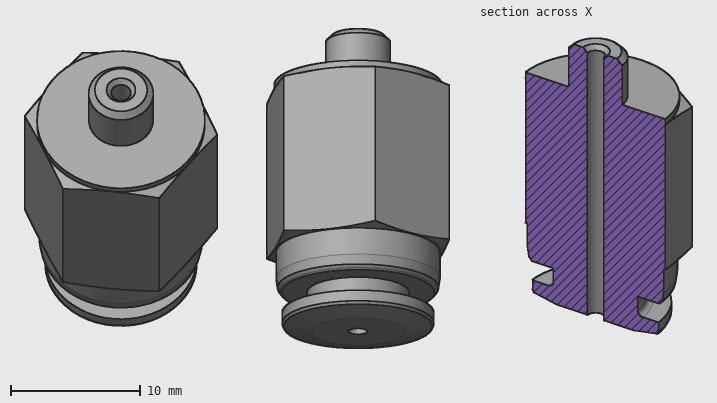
import cadquery as cq
import math

total_height = 23.9
flange_rim_bottom = 0.4
flange_rim_edge = 0.65
flange_top = 1.5
collar_bottom = 3.15
collar_lip_top = 3.3
collar_taper_bottom = 3.51
collar_taper_top = 4.3
hex_bottom = 6.4
hex_top = 19.43
washer_top = 19.93

flange_face_diameter = 7.17
flange_diameter = 11.75
neck_diameter = 7.9
collar_bottom_diameter = 11.8
collar_lip_diameter = 12.12
collar_taper_diameter = 12.45
collar_diameter = 12.7
washer_diameter = 13.0
stud_diameter = 5.0
bore_diameter = 1.5
countersink_diameter = 2.25

flange_rim_inset = 0.12
neck_fillet = 0.43
stud_chamfer = 0.48
hex_across_flats = 13.0
hex_across_corners = hex_across_flats / math.cos(math.radians(30))
hex_chamfer_angle = 15.0


def make_turned_body():
    """Flange, neck, collar, washer face and stud as one revolved profile."""
    flange_radius = flange_diameter / 2
    neck_radius = neck_diameter / 2
    collar_radius = collar_diameter / 2
    washer_radius = washer_diameter / 2
    stud_radius = stud_diameter / 2
    fillet_offset = neck_fillet * (1 - math.sqrt(0.5))
    profile = (
        cq.Workplane("XZ")
        .lineTo(flange_face_diameter / 2, 0)
        .lineTo(flange_radius - flange_rim_inset, flange_rim_bottom)
        .lineTo(flange_radius, flange_rim_edge)
        .lineTo(flange_radius, flange_top)
        .lineTo(neck_radius + neck_fillet, flange_top)
        .threePointArc(
            (neck_radius + fillet_offset, flange_top + fillet_offset),
            (neck_radius, flange_top + neck_fillet),
        )
        .lineTo(neck_radius, collar_bottom)
        .lineTo(collar_bottom_diameter / 2, collar_bottom)
        .lineTo(collar_lip_diameter / 2, collar_lip_top)
        .lineTo(collar_taper_diameter / 2, collar_taper_bottom)
        .lineTo(collar_radius, collar_taper_top)
        .lineTo(collar_radius, hex_bottom)
        .lineTo(washer_radius, hex_bottom)
        .lineTo(washer_radius, washer_top)
        .lineTo(stud_radius, washer_top)
        .lineTo(stud_radius, total_height - stud_chamfer)
        .lineTo(stud_radius - stud_chamfer, total_height)
        .lineTo(0, total_height)
        .close()
    )
    return profile.revolve(360, (0, 0, 0), (0, 1, 0))


def make_hexagon():
    """Hexagonal wrench section with its corners cut conically at both ends."""
    prism = (
        cq.Workplane("XY", origin=(0, 0, hex_bottom))
        .polygon(6, hex_across_corners)
        .extrude(hex_top - hex_bottom)
    )
    face_radius = hex_across_flats / 2
    corner_radius = hex_across_corners / 2
    corner_drop = (corner_radius - face_radius) * math.tan(math.radians(hex_chamfer_angle))
    envelope = (
        cq.Workplane("XZ")
        .moveTo(0, hex_bottom)
        .lineTo(face_radius, hex_bottom)
        .lineTo(corner_radius, hex_bottom + corner_drop)
        .lineTo(corner_radius, hex_top - corner_drop)
        .lineTo(face_radius, hex_top)
        .lineTo(0, hex_top)
        .close()
        .revolve(360, (0, 0, 0), (0, 1, 0))
    )
    return prism.intersect(envelope)


def make_bore():
    """Through bore with a 45 degree countersink at the stud end."""
    bore_radius = bore_diameter / 2
    countersink_radius = countersink_diameter / 2
    countersink_depth = countersink_radius - bore_radius
    return (
        cq.Workplane("XZ")
        .lineTo(bore_radius, 0)
        .lineTo(bore_radius, total_height - countersink_depth)
        .lineTo(countersink_radius, total_height)
        .lineTo(0, total_height)
        .close()
        .revolve(360, (0, 0, 0), (0, 1, 0))
    )


result = make_turned_body().union(make_hexagon()).cut(make_bore())